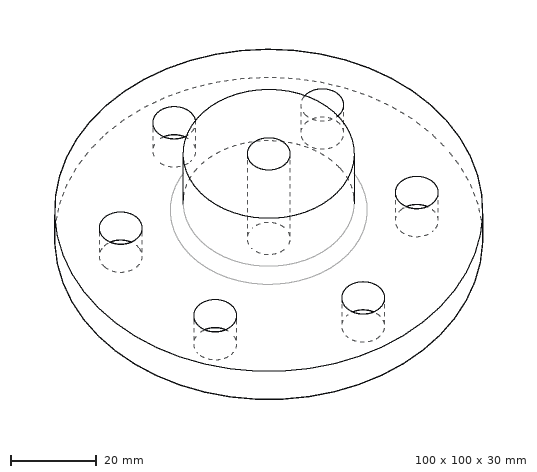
import cadquery as cq

flange_diameter = 100.0
flange_thickness = 10.0

hub_diameter = 40.0
overall_height = 30.0
hub_height = overall_height - flange_thickness
hub_fillet_radius = 3.0

bore_diameter = 10.0
bolt_hole_diameter = 10.0
bolt_circle_diameter = 70.0
bolt_count = 6


def make_flange_with_hub():
    """Disc with a central hub, blended together by a fillet at the hub's foot."""
    flange = cq.Workplane("XY").circle(flange_diameter / 2).extrude(flange_thickness)
    hub = (
        cq.Workplane("XY")
        .workplane(offset=flange_thickness)
        .circle(hub_diameter / 2)
        .extrude(hub_height)
    )
    hub_foot = cq.selectors.RadiusNthSelector(0)
    return (
        flange.union(hub)
        .faces("<Z[-2]")
        .edges(hub_foot)
        .fillet(hub_fillet_radius)
    )


def make_bore():
    """Central bore through the hub and flange."""
    return cq.Workplane("XY").circle(bore_diameter / 2).extrude(overall_height)


def make_bolt_holes():
    """Ring of equally spaced bolt holes through the flange, the first on +X."""
    return (
        cq.Workplane("XY")
        .polarArray(bolt_circle_diameter / 2, 0, 360, bolt_count)
        .circle(bolt_hole_diameter / 2)
        .extrude(flange_thickness)
    )


result = make_flange_with_hub().cut(make_bore()).cut(make_bolt_holes())